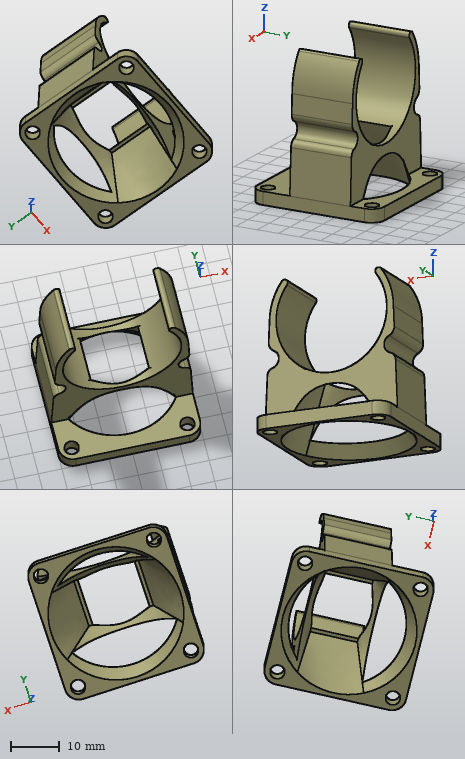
import cadquery as cq
import math

plate_side = 30.0
plate_thickness = 3.0
plate_corner_radius = 3.0
screw_hole_diameter = 3.0
screw_hole_spacing = 24.5

overall_height = 33.65
band_width = 14.3
band_center_y = 1.55
bore_radius = 12.55
arm_thickness = 1.5
ring_center_z = 24.95
ring_radius = bore_radius + arm_thickness

groove_radius = 2.0
groove_center_x = 13.95
groove_center_z = 16.83
upper_lip_radius = 2.0
lower_lip_radius = 1.68

mouth_radius = 14.0
passage_height = 14.0
passage_end_length = 14.0
passage_end_width = 10.0
mouth_front_corner_angle = math.radians(-26)
mouth_back_corner_angle = math.radians(36)

tip_radius = arm_thickness / 2
tip_path_radius = bore_radius + tip_radius
tip_center_z = overall_height - tip_radius
tip_angle = math.asin((tip_center_z - ring_center_z) / tip_path_radius)

half_plate = plate_side / 2


def ring_point(radius, angle, side):
    """Point about the bore axis; angle is measured up from horizontal, side is +1 or -1."""
    return side * radius * math.cos(angle), ring_center_z + radius * math.sin(angle)


def extrude_band(profile):
    """Extrude an XZ profile across the width of the band."""
    return profile.extrude(band_width / 2, both=True).translate((0, band_center_y, 0))


def make_plate():
    return (
        cq.Workplane("XY")
        .rect(plate_side, plate_side)
        .extrude(plate_thickness)
        .edges("|Z")
        .fillet(plate_corner_radius)
    )


def make_clip():
    """Each outer wall leans from the plate's upper edge to the ring at the height of its axis."""
    middle_angle = tip_angle / 2
    tip_top_angle = tip_angle + math.pi / 2

    def tip_top(side):
        x, z = ring_point(tip_path_radius, tip_angle, side)
        return x + side * tip_radius * math.cos(tip_top_angle), z + tip_radius * math.sin(tip_top_angle)

    profile = (
        cq.Workplane("XZ")
        .moveTo(-half_plate, 0)
        .lineTo(half_plate, 0)
        .lineTo(half_plate, plate_thickness)
        .lineTo(ring_radius, ring_center_z)
        .threePointArc(ring_point(ring_radius, middle_angle, 1), ring_point(ring_radius, tip_angle, 1))
        .threePointArc(tip_top(1), ring_point(bore_radius, tip_angle, 1))
        .threePointArc((0, ring_center_z - bore_radius), ring_point(bore_radius, tip_angle, -1))
        .threePointArc(tip_top(-1), ring_point(ring_radius, tip_angle, -1))
        .threePointArc(ring_point(ring_radius, middle_angle, -1), (-ring_radius, ring_center_z))
        .lineTo(-half_plate, plate_thickness)
        .close()
    )
    return extrude_band(profile)


def cut_grooves(clip):
    groove_centers = [(side * groove_center_x, groove_center_z) for side in (-1, 1)]
    grooves = extrude_band(cq.Workplane("XZ").pushPoints(groove_centers).circle(groove_radius))
    clip = clip.cut(grooves)
    reach = 2 * groove_radius
    for direction, lip_radius in ((1, upper_lip_radius), (-1, lower_lip_radius)):
        lip_zone = cq.selectors.BoxSelector(
            (-plate_side, -plate_side, groove_center_z),
            (plate_side, plate_side, groove_center_z + direction * reach),
        )
        clip = clip.edges("|Y").edges(lip_zone).fillet(lip_radius)
    return clip


def make_passage():
    """Ruled loft; the mouth circle is split into four arcs that match the rectangle sides."""
    def mouth_point(angle, side):
        return side * mouth_radius * math.cos(angle), mouth_radius * math.sin(angle)

    return (
        cq.Workplane("XY")
        .moveTo(*mouth_point(mouth_front_corner_angle, -1))
        .threePointArc((0, -mouth_radius), mouth_point(mouth_front_corner_angle, 1))
        .threePointArc((mouth_radius, 0), mouth_point(mouth_back_corner_angle, 1))
        .threePointArc((0, mouth_radius), mouth_point(mouth_back_corner_angle, -1))
        .threePointArc((-mouth_radius, 0), mouth_point(mouth_front_corner_angle, -1))
        .close()
        .workplane(offset=passage_height)
        .center(0, band_center_y)
        .rect(passage_end_length, passage_end_width)
        .loft(ruled=True, combine=True)
    )


def make_screw_holes():
    return (
        cq.Workplane("XY")
        .rect(screw_hole_spacing, screw_hole_spacing, forConstruction=True)
        .vertices()
        .circle(screw_hole_diameter / 2)
        .extrude(plate_thickness)
    )


clip_body = cut_grooves(make_clip())
result = make_plate().union(clip_body).cut(make_passage()).cut(make_screw_holes())